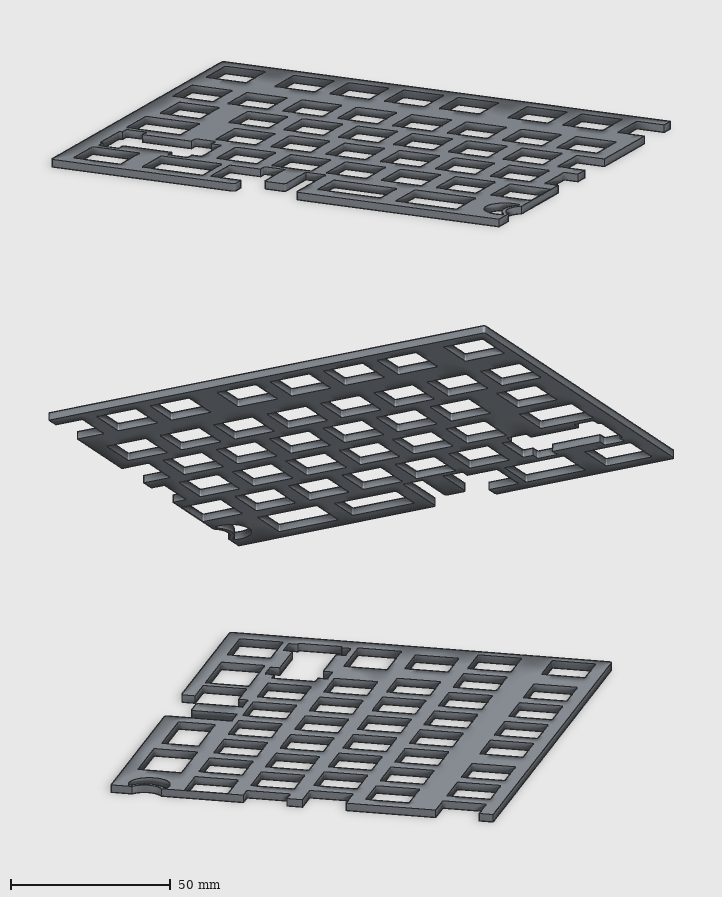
import cadquery as cq

PLATE_LENGTH = 155.5
PLATE_WIDTH = 123.0
PLATE_THICKNESS = 2.5

EIGHT_KEY_RUN = 152.4
PITCH = EIGHT_KEY_RUN / 8
LEFT_MARGIN = 0.6
FIRST_KEY_X = LEFT_MARGIN + PITCH / 2
ROW_DROPS = [0, 1.25, 2.25, 3.25, 4.25, 5.25]
TOP_ROW_Y = (PLATE_WIDTH + ROW_DROPS[-1] * PITCH) / 2
FUNCTION_ROW, NUMBER_ROW, UPPER_ROW, HOME_ROW, SHIFT_ROW, SPACE_ROW = [
    TOP_ROW_Y - drop * PITCH for drop in ROW_DROPS
]

SWITCH_SIZE = 14.0
CUTOUT_CORNER_RADIUS = 0.5
SINGLE_KEYS = [
    (FUNCTION_ROW, [0, 1.25, 2.25, 3.25, 4.25, 5.5, 6.5, 7.5]),
    (NUMBER_ROW, [0, 1, 2, 3, 4, 5, 6, 7]),
    (UPPER_ROW, [0.25, 1.5, 2.5, 3.5, 4.5, 5.5, 6.5, 7.5]),
    (HOME_ROW, [1.75, 2.75, 3.75, 4.75, 5.75, 6.75, 7.75]),
    (SHIFT_ROW, [2.25, 3.25, 4.25, 5.25, 6.25, 7.25]),
]
LONG_KEYS = [
    (HOME_ROW, 0.125, 0.375),
    (SHIFT_ROW, 0.125, 1.25),
    (SPACE_ROW, 0.125, 0.25),
    (SPACE_ROW, 1.375, 1.75),
    (SPACE_ROW, 6, 6.375),
]

STABILIZER_WIDTH = 7.0
STABILIZER_HEIGHT = 20.0
SHIFT_CENTER = 0.625
SHIFT_STABILIZER_SPACING = 24.0

SPACE_FIRST_KEY = 2.625
SPACE_OPENING_LEFT = 63.7
TONGUE_WIDTH = 7.3
TONGUE_TIP_Y = 6.7
EDGE_CORNER_RADIUS = 1.0
SPACE_OPENING_WIDTH = TONGUE_WIDTH + 2 * STABILIZER_WIDTH
SPACE_OPENING_TOP = SPACE_ROW + STABILIZER_HEIGHT / 2

WINDOW_CENTER_X = 100.7
WINDOW_LENGTH = 21.9
WINDOW_HEIGHT = 11.8

CRESCENT_X = 152.0
CRESCENT_RADIUS = 6.5
CRESCENT_END_X = 154.0
NOTCH_X = 158.7
NOTCH_RADIUS = 5.8
NOTCH_WALL = 1.2


def key_x(position):
    return FIRST_KEY_X + position * PITCH


def block(x, y, length, height):
    """Sharp-cornered cutter centred at (x, y)."""
    return cq.Workplane("XY").center(x, y).rect(length, height).extrude(PLATE_THICKNESS)


def rounded_block(x, y, length, height):
    return block(x, y, length, height).edges("|Z").fillet(CUTOUT_CORNER_RADIUS)


def disc(x, y, radius):
    return cq.Workplane("XY").center(x, y).circle(radius).extrude(PLATE_THICKNESS)


def switch_cutout(row_y, first, last):
    """Cutout for a switch placed anywhere from the first to the last key position."""
    length = SWITCH_SIZE + (last - first) * PITCH
    return rounded_block(key_x((first + last) / 2), row_y, length, SWITCH_SIZE)


def space_bar_cutout():
    opening_center = SPACE_OPENING_LEFT + SPACE_OPENING_WIDTH / 2
    opening = block(opening_center, SPACE_OPENING_TOP / 2, SPACE_OPENING_WIDTH, SPACE_OPENING_TOP)
    opening = opening.edges("|Z and >Y").fillet(CUTOUT_CORNER_RADIUS)
    tongue_length = SPACE_OPENING_TOP - TONGUE_TIP_Y
    tongue_center_y = (SPACE_OPENING_TOP + TONGUE_TIP_Y) / 2
    tongue = block(opening_center, tongue_center_y, TONGUE_WIDTH, tongue_length)
    tongue = tongue.edges("|Z and <Y").fillet(EDGE_CORNER_RADIUS)
    key_left = key_x(SPACE_FIRST_KEY) - SWITCH_SIZE / 2
    key_right = SPACE_OPENING_LEFT + STABILIZER_WIDTH / 2
    key = rounded_block((key_left + key_right) / 2, SPACE_ROW, key_right - key_left, SWITCH_SIZE)
    return opening.cut(tongue).union(key)


def crescent_cutout():
    crescent = disc(CRESCENT_X, SPACE_ROW, CRESCENT_RADIUS)
    crescent = crescent.cut(disc(NOTCH_X, SPACE_ROW, NOTCH_RADIUS + NOTCH_WALL))
    trim_size = 2 * CRESCENT_RADIUS
    trim_x = CRESCENT_END_X + trim_size / 2
    return crescent.cut(block(trim_x, SPACE_ROW, trim_size, trim_size))


result = cq.Workplane("XY").box(PLATE_LENGTH, PLATE_WIDTH, PLATE_THICKNESS, centered=False)

for row_y, positions in SINGLE_KEYS:
    for position in positions:
        result = result.cut(switch_cutout(row_y, position, position))

for row_y, first, last in LONG_KEYS:
    result = result.cut(switch_cutout(row_y, first, last))

for side in (-1, 1):
    stabilizer_x = key_x(SHIFT_CENTER) + side * SHIFT_STABILIZER_SPACING / 2
    result = result.cut(rounded_block(stabilizer_x, SHIFT_ROW, STABILIZER_WIDTH, STABILIZER_HEIGHT))

result = result.cut(space_bar_cutout())
result = result.cut(rounded_block(WINDOW_CENTER_X, SPACE_ROW, WINDOW_LENGTH, WINDOW_HEIGHT))
result = result.cut(crescent_cutout())
result = result.cut(disc(NOTCH_X, SPACE_ROW, NOTCH_RADIUS))

result = result.edges("|Z and (<X or <Y) and (not >X)").fillet(EDGE_CORNER_RADIUS)